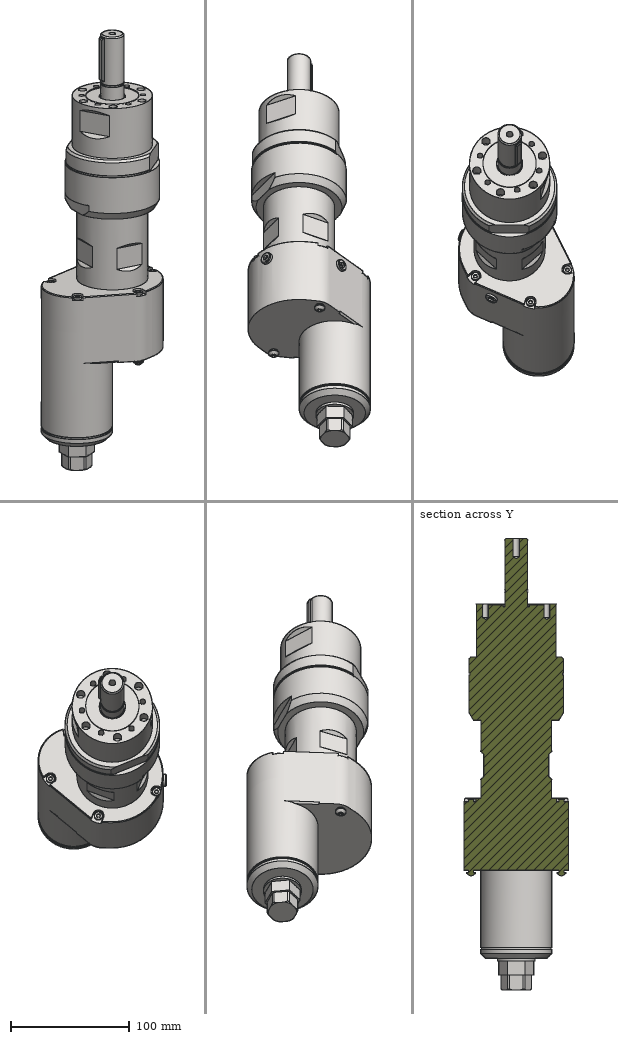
import cadquery as cq
import math


Z_PLUG_NUT = 12.5
Z_WASHER = 24.5
Z_MOTOR_END = 26.7
Z_MOTOR_GROOVE = 34.5
Z_GEARBOX_BOTTOM = 101.0
Z_MOTOR_TOP = 130.0
Z_PORTS = 150.0
Z_GEARBOX_TOP = 162.0
Z_BODY_BOTTOM = 228.0
Z_BODY_FLAT_TOP = 239.3
Z_COLLAR_BOTTOM = 266.5
Z_COLLAR_TOP = 281.5
Z_NOSE_TOP = 326.3
Z_SHAFT_GROOVE = 336.5
Z_TOP = 381.5

SHAFT_R = 10.0
SHAFT_CHAMFER = 1.0
CENTER_HOLE_R = 2.5
CENTER_HOLE_DEPTH = 15.3
NOSE_R = 34.0
NOSE_RECESS_R = 22.5
NOSE_RECESS_DEPTH = 0.8
SHAFT_OPENING_R = 11.0
SHAFT_OPENING_DEPTH = 2.3
BODY_R = 40.0
BODY_CHAMFER_R = 4.0
BODY_CHAMFER_Z = 6.5
BODY_FLAT = 35.0
COLLAR_CHAMFER = 2.0
COLLAR_FLAT = 36.3
COLLAR_FLAT_ANGLE = 45
NECK_R = 30.0
GROOVE_WIDTH = 1.5
GROOVE_DEPTH = 0.57

NECK_FLAT = 27.5
NECK_FLAT_Z = (180.5, 199.2)
NOSE_FLAT = 31.0
NOSE_FLAT_Z = (301.0, 319.8)
NOSE_FLAT_ANGLE = 120

KEY_WIDTH = 6.0
KEY_REACH = 12.0
KEY_Z = (341.0, 379.5)
KEY_CHAMFER = 0.95

HOLE_COUNT = 6
LARGE_HOLE_R = 3.5
LARGE_HOLE_CIRCLE_R = 28.5
SMALL_HOLE_R = 2.3
SMALL_HOLE_CIRCLE_R = 26.0
HOLE_DEPTH = 11.5
DRILL_POINT_ANGLE = 118

MOTOR_Y = -35.0
MOTOR_R = NECK_R
MOTOR_CHAMFER = 4.2
GEARBOX_R = 43.0
LUG_X = 27.0
LUG_Y = 1.5
LUG_R = 17.0
GEARBOX_EDGE = 0.8
GEARBOX_FOOT_EDGE = 1.5
COVER_THICKNESS = 4.0
COVER_FRONT_Y = -17.5

SIDE_SCREW = (38.0, 2.3)
FRONT_SCREW = (21.8, -47.7)
BACK_SCREW_Y = 40.0
SCREW_RECESS_R = 4.5
SCREW_RECESS_DEPTH = 3.0
SCREW_HEAD_R = 3.5
SCREW_HEAD_HEIGHT = 2.0
SOCKET_WIDTH = 3.5
SOCKET_DEPTH = 1.5
FOOT_SCREW_R = 4.5
FOOT_SCREW_HEIGHT = 5.0
FOOT_SCREW_GAP = 2.0
FOOT_SCREW_CHAMFER = 2.3

PORT_R = 5.15
PORT_PROUD = 2.5
PORT_CHAMFER = 0.8
PORT_ROOT = 4.0
PORT_SOCKET_WIDTH = 5.0
PORT_SOCKET_DEPTH = 2.3
BACK_PORT_ANGLE = 111
SIDE_PORT_Y = -18.0

WASHER_R = 16.0
UPPER_HEX_FLATS = 26.0
LOWER_HEX_FLATS = 23.3
LOWER_HEX_CORNER_R = 13.0
LOWER_HEX_CHAMFER = 0.95

FAR = 114.5


def cylinder(radius, z_low, z_high, x=0.0, y=0.0):
    return cq.Workplane("XY", origin=(x, y, z_low)).circle(radius).extrude(z_high - z_low)


def drill(radius, depth, z_top, x=0.0, y=0.0):
    """Blind hole cutter going down from z_top, ending in a drill point."""
    tip = radius / math.tan(math.radians(DRILL_POINT_ANGLE / 2))
    profile = [(0, 0), (radius, 0), (radius, -depth), (0, -depth - tip)]
    hole = cq.Workplane("XZ").polyline(profile).close().revolve(360, (0, 0), (0, 1))
    return hole.translate((x, y, z_top))


def ring_groove(radius, z, y=0.0):
    z_high = z + GROOVE_WIDTH
    outer = cylinder(radius + 4, z, z_high, y=y)
    return outer.cut(cylinder(radius - GROOVE_DEPTH, z, z_high, y=y))


def flat_cutter(distance, z_low, z_high, angle):
    """Block that leaves a full-height flat at the given distance from the Z axis."""
    block = cq.Workplane("XY").box(FAR, FAR, z_high - z_low, centered=(False, True, False))
    return block.translate((distance, 0, z_low)).rotate((0, 0, 0), (0, 0, 1), angle)


def pocket_cutter(distance, z_range, angle, radius):
    """Cutter for a flat whose two ends run out at 45 degrees."""
    z_low, z_high = z_range
    depth = radius - distance + 4
    profile = [
        (distance, z_low),
        (distance, z_high),
        (distance + depth, z_high + depth),
        (distance + depth, z_low - depth),
    ]
    wedge = cq.Workplane("XZ").polyline(profile).close().extrude(FAR / 2, both=True)
    return wedge.rotate((0, 0, 0), (0, 0, 1), angle)


def make_shaft():
    shaft = cylinder(SHAFT_R, Z_COLLAR_TOP, Z_TOP).faces(">Z").chamfer(SHAFT_CHAMFER)
    shaft = shaft.cut(drill(CENTER_HOLE_R, CENTER_HOLE_DEPTH, Z_TOP))
    shaft = shaft.cut(ring_groove(SHAFT_R, Z_SHAFT_GROOVE))
    key = cq.Workplane("XY").box(KEY_WIDTH, KEY_REACH, KEY_Z[1] - KEY_Z[0], centered=(True, False, False))
    key = key.translate((0, -KEY_REACH, KEY_Z[0])).faces("<Y").chamfer(KEY_CHAMFER)
    key = key.cut(cylinder(SHAFT_R / 2, KEY_Z[0], KEY_Z[1]))
    return shaft.union(key)


def make_nose():
    nose = cylinder(NOSE_R, Z_COLLAR_BOTTOM, Z_NOSE_TOP)
    nose = nose.cut(cylinder(NOSE_RECESS_R, Z_NOSE_TOP - NOSE_RECESS_DEPTH, Z_NOSE_TOP))
    nose = nose.cut(cylinder(SHAFT_OPENING_R, Z_NOSE_TOP - SHAFT_OPENING_DEPTH, Z_NOSE_TOP))
    hole_rings = (
        (LARGE_HOLE_R, LARGE_HOLE_CIRCLE_R, 90),
        (SMALL_HOLE_R, SMALL_HOLE_CIRCLE_R, 0),
    )
    for hole_r, circle_r, first_angle in hole_rings:
        for i in range(HOLE_COUNT):
            angle = math.radians(first_angle + i * 360 / HOLE_COUNT)
            x, y = point_on((0, 0, circle_r), angle)
            nose = nose.cut(drill(hole_r, HOLE_DEPTH, Z_NOSE_TOP, x, y))
    for turn in (0, 180):
        nose = nose.cut(pocket_cutter(NOSE_FLAT, NOSE_FLAT_Z, NOSE_FLAT_ANGLE + turn, NOSE_R))
    return nose


def make_body():
    inner_r = BODY_R - BODY_CHAMFER_R
    profile = [
        (0, Z_BODY_BOTTOM),
        (inner_r, Z_BODY_BOTTOM),
        (BODY_R, Z_BODY_BOTTOM + BODY_CHAMFER_Z),
        (BODY_R, Z_COLLAR_BOTTOM),
        (0, Z_COLLAR_BOTTOM),
    ]
    body = cq.Workplane("XZ").polyline(profile).close().revolve(360, (0, 0), (0, 1))
    for angle in (90, 270):
        body = body.cut(flat_cutter(BODY_FLAT, Z_BODY_BOTTOM, Z_BODY_FLAT_TOP, angle))

    collar = cylinder(BODY_R, Z_COLLAR_BOTTOM, Z_COLLAR_TOP).faces(">Z").chamfer(COLLAR_CHAMFER)
    collar = collar.cut(ring_groove(BODY_R, Z_COLLAR_BOTTOM))
    for turn in (0, 180):
        angle = COLLAR_FLAT_ANGLE + turn
        collar = collar.cut(flat_cutter(COLLAR_FLAT, Z_COLLAR_BOTTOM, Z_COLLAR_TOP, angle))
    return body.union(collar)


def make_neck():
    neck = cylinder(NECK_R, Z_GEARBOX_BOTTOM, Z_BODY_BOTTOM)
    for angle in (0, 90, 180, 270):
        neck = neck.cut(pocket_cutter(NECK_FLAT, NECK_FLAT_Z, angle, NECK_R))
    return neck


def tangent_direction(first, second):
    """Outward normal of the line touching two (x, y, radius) circles, walked counterclockwise."""
    dx = second[0] - first[0]
    dy = second[1] - first[1]
    spread = math.acos((first[2] - second[2]) / math.hypot(dx, dy))
    return math.atan2(dy, dx) - spread


def point_on(circle, angle):
    x, y, radius = circle
    return (x + radius * math.cos(angle), y + radius * math.sin(angle))


def belt_outline(circles):
    """Outline like a tight belt around circles listed counterclockwise."""
    count = len(circles)
    leaving = [tangent_direction(circles[i], circles[(i + 1) % count]) for i in range(count)]
    outline = cq.Workplane("XY").moveTo(*point_on(circles[0], leaving[-1]))
    for i in range(count):
        start = leaving[i - 1]
        sweep = (leaving[i] - start) % (2 * math.pi)
        middle = point_on(circles[i], start + sweep / 2)
        outline = outline.threePointArc(middle, point_on(circles[i], start + sweep))
        if i < count - 1:
            outline = outline.lineTo(*point_on(circles[i + 1], leaving[i]))
    return outline.close()


MOTOR_CIRCLE = (0, MOTOR_Y, MOTOR_R)
RIGHT_LUG = (LUG_X, LUG_Y, LUG_R)
LEFT_LUG = (-LUG_X, LUG_Y, LUG_R)
SPINDLE_CIRCLE = (0, 0, GEARBOX_R)


def gearbox_slab(height):
    outline = belt_outline([MOTOR_CIRCLE, RIGHT_LUG, SPINDLE_CIRCLE, LEFT_LUG])
    return outline.extrude(height).translate((0, 0, Z_GEARBOX_BOTTOM))


def screw_recess(x, y, angle):
    """Recess that opens through the gearbox wall in the given direction (degrees)."""
    size = (FAR, 2 * SCREW_RECESS_R, SCREW_RECESS_DEPTH)
    opening = cq.Workplane("XY").box(*size, centered=(False, True, False))
    recess = opening.union(cylinder(SCREW_RECESS_R, 0, SCREW_RECESS_DEPTH))
    recess = recess.rotate((0, 0, 0), (0, 0, 1), angle)
    return recess.translate((x, y, Z_GEARBOX_TOP - SCREW_RECESS_DEPTH))


def screw_head(x, y):
    recess_floor = Z_GEARBOX_TOP - SCREW_RECESS_DEPTH
    head = cylinder(SCREW_HEAD_R, recess_floor, recess_floor + SCREW_HEAD_HEIGHT, x, y)
    return head.faces(">Z").workplane().polygon(6, SOCKET_WIDTH).cutBlind(-SOCKET_DEPTH)


def make_gearbox():
    gearbox = gearbox_slab(Z_GEARBOX_TOP - Z_GEARBOX_BOTTOM)
    gearbox = gearbox.faces(">Z").chamfer(GEARBOX_EDGE).faces("<Z").chamfer(GEARBOX_FOOT_EDGE)

    cover = gearbox_slab(COVER_THICKNESS)
    front = cq.Workplane("XY").box(FAR, FAR, FAR).translate((0, COVER_FRONT_Y - FAR / 2, Z_GEARBOX_BOTTOM))
    gearbox = gearbox.union(cover.cut(front))

    gearbox = gearbox.cut(cylinder(MOTOR_R, Z_GEARBOX_BOTTOM, Z_MOTOR_TOP, y=MOTOR_Y))

    screw_x, screw_y = FRONT_SCREW
    front_angle = math.degrees(math.atan2(screw_y - MOTOR_Y, screw_x))
    screws = (
        (0, BACK_SCREW_Y, 90),
        (SIDE_SCREW[0], SIDE_SCREW[1], 0),
        (-SIDE_SCREW[0], SIDE_SCREW[1], 180),
        (screw_x, screw_y, front_angle),
        (-screw_x, screw_y, 180 - front_angle),
    )
    for x, y, angle in screws:
        gearbox = gearbox.cut(screw_recess(x, y, angle)).union(screw_head(x, y))
    return gearbox


def make_foot_screw(side):
    x = side * SIDE_SCREW[0]
    y = SIDE_SCREW[1]
    head_top = Z_GEARBOX_BOTTOM - FOOT_SCREW_GAP
    head_bottom = Z_GEARBOX_BOTTOM - FOOT_SCREW_HEIGHT
    head = cylinder(FOOT_SCREW_R, head_bottom, head_top, x, y).faces("<Z").chamfer(FOOT_SCREW_CHAMFER)
    shank = cylinder(SCREW_HEAD_R, head_top, Z_GEARBOX_BOTTOM, x, y)
    socket = cq.Workplane("XY", origin=(x, y, head_bottom)).polygon(6, SOCKET_WIDTH).extrude(SOCKET_DEPTH)
    return head.union(shank).cut(socket)


def make_port(x, y, angle):
    """Round socket-head plug standing proud of a wall whose outward normal has this angle."""
    outward = cq.Vector(math.cos(angle), math.sin(angle), 0)
    root = cq.Vector(x, y, Z_PORTS) - outward * PORT_ROOT
    plane = cq.Plane(origin=root, xDir=(0, 0, 1), normal=outward)
    plug = cq.Workplane(plane).circle(PORT_R).extrude(PORT_ROOT + PORT_PROUD)
    end = plug.faces(cq.selectors.DirectionMinMaxSelector(outward))
    plug = end.chamfer(PORT_CHAMFER)
    socket_start = root + outward * (PORT_ROOT + PORT_PROUD - PORT_SOCKET_DEPTH)
    socket_plane = cq.Plane(origin=socket_start, xDir=(0, 0, 1), normal=outward)
    socket = cq.Workplane(socket_plane).polygon(6, PORT_SOCKET_WIDTH).extrude(PORT_SOCKET_DEPTH)
    return plug.cut(socket)


def make_ports():
    back_angle = math.radians(BACK_PORT_ANGLE)
    back = make_port(*point_on(SPINDLE_CIRCLE, back_angle), back_angle)
    wall_angle = tangent_direction(LEFT_LUG, MOTOR_CIRCLE)
    wall_x, wall_y = point_on(LEFT_LUG, wall_angle)
    side_x = wall_x - (SIDE_PORT_Y - wall_y) * math.tan(wall_angle)
    return back.union(make_port(side_x, SIDE_PORT_Y, wall_angle))


def make_motor():
    motor = cylinder(MOTOR_R, Z_MOTOR_END, Z_MOTOR_TOP, y=MOTOR_Y)
    motor = motor.faces("<Z").chamfer(MOTOR_CHAMFER)
    return motor.cut(ring_groove(MOTOR_R, Z_MOTOR_GROOVE, MOTOR_Y))


def hex_prism(across_flats, z_low, z_high):
    across_corners = across_flats / math.cos(math.pi / 6)
    plane = cq.Workplane("XY", origin=(0, MOTOR_Y, z_low))
    return plane.polygon(6, across_corners).extrude(z_high - z_low)


def make_cable_plug():
    washer = cylinder(WASHER_R, Z_WASHER, Z_MOTOR_END, y=MOTOR_Y)
    upper = hex_prism(UPPER_HEX_FLATS, Z_PLUG_NUT, Z_WASHER)
    rounding = cylinder(LOWER_HEX_CORNER_R, 0, Z_PLUG_NUT, y=MOTOR_Y).faces("<Z").chamfer(LOWER_HEX_CHAMFER)
    lower = hex_prism(LOWER_HEX_FLATS, 0, Z_PLUG_NUT).intersect(rounding)
    return washer.union(upper).union(lower)


drive = make_gearbox().union(make_motor()).union(make_cable_plug()).union(make_ports())
result = make_nose().union(make_body()).union(make_neck()).union(drive)
for side in (-1, 1):
    result = result.union(make_foot_screw(side))
result = result.union(make_shaft())